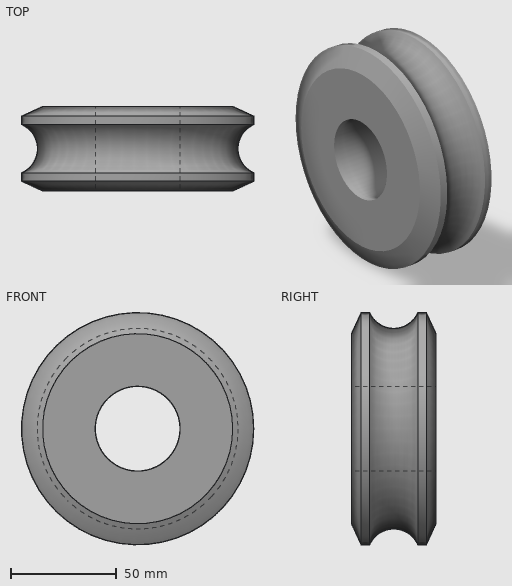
import cadquery as cq

outer_diameter = 110.0
width = 40.0
bore_diameter = 40.0
face_diameter = 90.0
bevel_width = 4.6
groove_width = 22.9
root_diameter = 95.0

outer_radius = outer_diameter / 2
bore_radius = bore_diameter / 2
face_radius = face_diameter / 2
root_radius = root_diameter / 2
half_width = width / 2
half_groove = groove_width / 2
rim_edge = half_width - bevel_width

half_section = (
    cq.Workplane("XY")
    .moveTo(bore_radius, -half_width)
    .lineTo(face_radius, -half_width)
    .lineTo(outer_radius, -rim_edge)
    .lineTo(outer_radius, -half_groove)
    .threePointArc((root_radius, 0), (outer_radius, half_groove))
    .lineTo(outer_radius, rim_edge)
    .lineTo(face_radius, half_width)
    .lineTo(bore_radius, half_width)
    .close()
)

result = half_section.revolve(360, (0, 0, 0), (0, 1, 0))